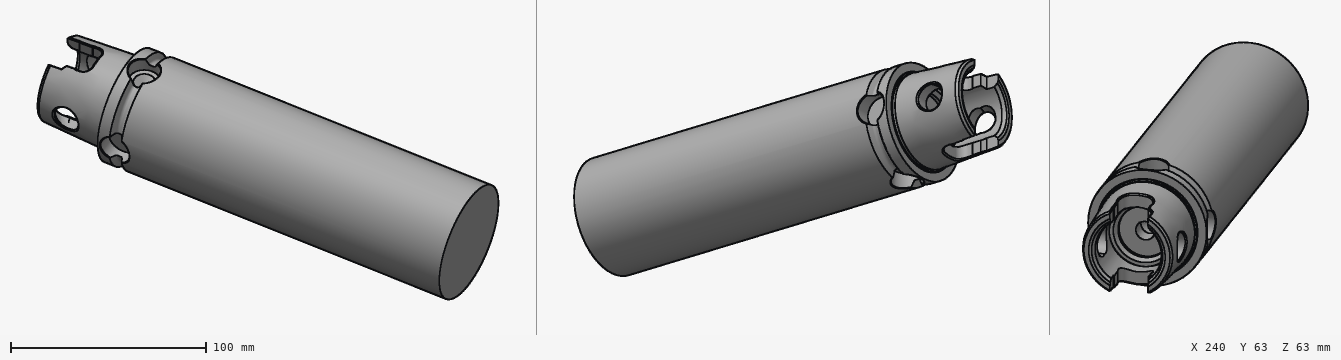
import cadquery as cq
import math


body_dia = 62.95
body_length = 200.0
shank_length = 39.95
front_x = -shank_length

taper_base_radius = 25.75
taper_ratio = 0.05
taper_front_radius = taper_base_radius - taper_ratio * shank_length
front_chamfer_length = 1.5
front_chamfer_height = 0.9
undercut_width = 1.4
undercut_depth = 0.4
face_relief_radius = 26.8
face_relief_depth = 0.5

mouth_radius = 20.3
mouth_chamfer_length = 0.5
lead_cone_radius = 18.9
lead_cone_length = 2.0
bore_radius = 17.6
bore_depth = 32.0
bore_relief_radius = 18.1
bore_relief_length = 1.5
lead_in_radius = 15.9
seat_radius = 13.9
seat_depth = 36.0
centre_hole_radius = 5.0
centre_hole_depth = 10.0
drill_point_half_angle = 59.0

slot_depth = 22.1
slot_half_width = 8.7
slot_land_height = 0.3
slot_land_end = 14.6
slot_corner_radius = 4.6
slot_step_half_width = 11.1
slot_step_depth = 7.5
slot_step_run = 1.8
slot_land_run = 0.6

ball_hole_x = front_x + 17.4
ball_hole_radius = 7.3
ball_seat_start_y = 22.5
ball_seat_end_y = 14.0
ball_seat_shift = 6.0

shank_edge_chamfer = 0.75
pocket_edge_chamfer = 0.4

groove_x = 10.0
groove_half_width = 3.5
groove_side_angle = 27.0
groove_fillet_radius = 1.4
groove_floor_radius = 27.8
pocket_radius = 8.4
pocket_floor_radius = 22.5
dimple_radius = 5.6

body_radius = body_dia / 2
flat_tolerance = 0.01


def revolve_about_x(points):
    """Solid of revolution about the X axis from (x, radius) points."""
    return cq.Workplane("XY").polyline(points).close().revolve(360, (0, 0, 0), (1, 0, 0))


def cone_depth(radius):
    """Depth of a drill point of the given radius."""
    return radius / math.tan(math.radians(drill_point_half_angle))


def make_body():
    undercut_x = -undercut_width
    undercut_top = taper_base_radius - taper_ratio * undercut_width
    return revolve_about_x([
        (front_x, 0),
        (front_x, taper_front_radius - front_chamfer_height),
        (front_x + front_chamfer_length, taper_front_radius + taper_ratio * front_chamfer_length),
        (undercut_x, undercut_top),
        (undercut_x + undercut_depth, undercut_top - undercut_depth),
        (face_relief_depth, undercut_top - undercut_depth),
        (face_relief_depth, face_relief_radius - face_relief_depth),
        (0, face_relief_radius),
        (0, body_radius),
        (body_length, body_radius),
        (body_length, 0),
    ])


def make_groove():
    """Ring with a tapered section and rounded floor corners."""
    depth = body_radius - groove_floor_radius
    floor_half_width = groove_half_width - depth * math.tan(math.radians(groove_side_angle))
    ring = revolve_about_x([
        (groove_x - groove_half_width, body_radius),
        (groove_x - floor_half_width, groove_floor_radius),
        (groove_x + floor_half_width, groove_floor_radius),
        (groove_x + groove_half_width, body_radius),
    ])
    floor_edges = cq.selectors.RadiusNthSelector(0)
    return ring.edges(floor_edges).fillet(groove_fillet_radius)


def make_bore():
    lead_cone_x = front_x + mouth_chamfer_length
    seat_x = front_x + seat_depth
    hole_end_x = seat_x + centre_hole_depth
    return revolve_about_x([
        (front_x, 0),
        (front_x, mouth_radius),
        (lead_cone_x, lead_cone_radius),
        (lead_cone_x + lead_cone_length, bore_radius),
        (front_x + bore_depth - bore_relief_length, bore_radius),
        (front_x + bore_depth, bore_relief_radius),
        (front_x + bore_depth, lead_in_radius),
        (front_x + bore_depth + lead_in_radius - seat_radius, seat_radius),
        (seat_x, seat_radius),
        (seat_x, centre_hole_radius),
        (hole_end_x, centre_hole_radius),
        (hole_end_x + cone_depth(centre_hole_radius), 0),
    ])


def make_slot():
    """Slot through the shank along Z, with low guide lands on both walls."""
    slot_end_x = front_x + slot_depth
    step_x = front_x + slot_step_depth
    land_x = step_x + slot_step_run
    land_end_x = front_x + slot_land_end
    relief_x = land_end_x + slot_land_run
    wide = slot_half_width + slot_land_height
    r = slot_corner_radius
    inset = r * (1 - math.sqrt(0.5))
    outline = (
        cq.Workplane("XY", origin=(0, 0, -body_radius))
        .moveTo(front_x, -slot_step_half_width)
        .lineTo(step_x, -slot_step_half_width)
        .lineTo(land_x, -slot_half_width)
        .lineTo(land_end_x, -slot_half_width)
        .lineTo(relief_x, -wide)
        .lineTo(slot_end_x - r, -wide)
        .threePointArc((slot_end_x - inset, inset - wide), (slot_end_x, r - wide))
        .lineTo(slot_end_x, wide - r)
        .threePointArc((slot_end_x - inset, wide - inset), (slot_end_x - r, wide))
        .lineTo(relief_x, wide)
        .lineTo(land_end_x, slot_half_width)
        .lineTo(step_x, slot_half_width)
        .lineTo(step_x - slot_land_run, wide)
        .lineTo(front_x, wide)
        .close()
    )
    return outline.extrude(body_dia)


def make_ball_holes():
    """Straight hole through both shank walls."""
    return (
        cq.Workplane("XZ", origin=(ball_hole_x, -body_radius, 0))
        .circle(ball_hole_radius)
        .extrude(-body_dia)
    )


def make_ball_seat(side):
    """Oblique run of a ball hole, leaning toward the front inside the wall; side is +1 or -1 in Y."""
    start = cq.Vector(ball_hole_x, side * ball_seat_start_y, 0)
    end = cq.Vector(ball_hole_x - ball_seat_shift, side * ball_seat_end_y, 0)
    axis = cq.Vector(0, 1, 0)
    rims = [cq.Wire.makeCircle(ball_hole_radius, centre, axis) for centre in (start, end)]
    return cq.Workplane(obj=cq.Solid.makeLoft(rims, True))


def make_pocket(with_dimple):
    """Round flat-floored pocket cut from the +Z side of the flange."""
    pocket = (
        cq.Workplane("XY", origin=(groove_x, 0, pocket_floor_radius))
        .circle(pocket_radius)
        .extrude(body_radius - pocket_floor_radius)
    )
    if with_dimple:
        depth = cone_depth(dimple_radius)
        dimple = cq.Solid.makeCone(
            dimple_radius, 0, depth, cq.Vector(groove_x, 0, pocket_floor_radius), cq.Vector(0, 0, -1)
        )
        pocket = pocket.union(cq.Workplane(obj=dimple))
    return pocket


def largest_face(part, kind):
    return max(part.faces(kind).vals(), key=lambda face: face.Area())


def break_cut_edges(part, face, size):
    """Chamfer the edges of a turned face, leaving the circles that bound it along X."""
    edges = [
        edge for edge in face.Edges()
        if edge.geomType() != "LINE" and edge.BoundingBox().xlen > flat_tolerance
    ]
    return part.newObject(edges).chamfer(size)


def cut_pockets(part):
    for quarter_turn in range(4):
        pocket = make_pocket(with_dimple=quarter_turn == 0)
        part = part.cut(pocket.rotate((0, 0, 0), (1, 0, 0), 90 * quarter_turn))
    return part


result = make_body().cut(make_bore()).cut(make_slot()).cut(make_ball_holes())
for side in (1, -1):
    result = result.cut(make_ball_seat(side))
taper_face = largest_face(result, "%CONE")
result = break_cut_edges(result, taper_face, shank_edge_chamfer)
result = cut_pockets(result)
body_face = largest_face(result, "%CYLINDER")
result = break_cut_edges(result, body_face, pocket_edge_chamfer)
result = result.cut(make_groove())